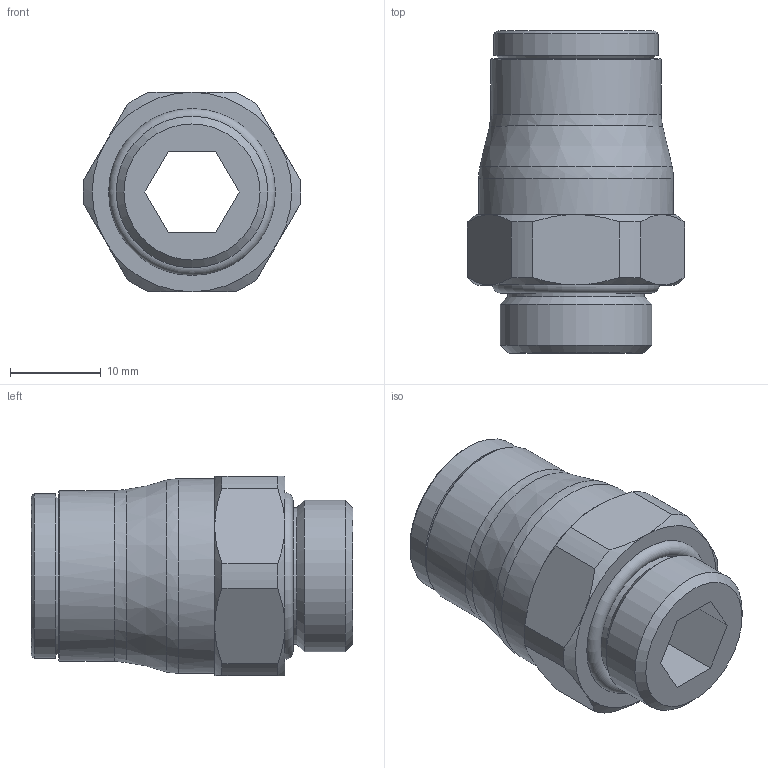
import cadquery as cq
import math


TOTAL_LENGTH = 35.5
THREAD_SHOULDER = 5.35
HEX_FRONT = 7.5
HEX_LENGTH = 7.75
HEX_REAR = HEX_FRONT + HEX_LENGTH
TAPER_START = 19.9
TAPER_END = 25.65
BODY_REAR = 32.45
CAP_FRONT = 32.8

THREAD_RADIUS = 8.35
RELIEF_RADIUS = 7.5
SEAL_OUTER_RADIUS = 9.2
SEAL_SECTION_RADIUS = 0.9
BODY_RADIUS = 10.75
NECK_RADIUS = 9.4
CAP_RADIUS = 9.1
CAP_BEVEL_RADIUS = 8.8
CAP_GROOVE_RADIUS = 8.5

THREAD_CHAMFER = THREAD_RADIUS - RELIEF_RADIUS
TAPER_BLEND_RADIUS = 5.6
BODY_EDGE_CHAMFER = 0.1
CAP_CHAMFER = 0.33

HEX_ACROSS_FLATS = 22.0
HEX_CORNER_DIAMETER = 24.0
HEX_CHAMFER_LENGTH = 0.8
SOCKET_ACROSS_FLATS = 9.0


def hexagonal_prism(across_flats, start, end):
    """Hexagonal prism along Y with its corners on the X axis."""
    corner_diameter = across_flats / math.cos(math.radians(30))
    profile = cq.Workplane("XZ", origin=(0, start, 0)).polygon(6, corner_diameter)
    return profile.extrude(start - end)


def revolved(profile):
    """Solid of revolution about the Y axis from a (radius, y) half profile."""
    return profile.close().revolve(360, (0, 0, 0), (0, 1, 0))


def threaded_end():
    """Plain thread cylinder, chamfered at both ends, with a relief behind it."""
    return revolved(
        cq.Workplane("XY")
        .lineTo(THREAD_RADIUS - THREAD_CHAMFER, 0)
        .lineTo(THREAD_RADIUS, THREAD_CHAMFER)
        .lineTo(THREAD_RADIUS, THREAD_SHOULDER)
        .lineTo(RELIEF_RADIUS, THREAD_SHOULDER + THREAD_CHAMFER)
        .lineTo(RELIEF_RADIUS, HEX_FRONT)
        .lineTo(0, HEX_FRONT)
    )


def seal_ring():
    """O-ring in the relief, half sunk into the front face of the hexagon."""
    centre_radius = SEAL_OUTER_RADIUS - SEAL_SECTION_RADIUS
    ring_section = cq.Workplane("XY").center(centre_radius, HEX_FRONT).circle(SEAL_SECTION_RADIUS)
    return ring_section.revolve(360, (-centre_radius, 0, 0), (-centre_radius, 1, 0))


def wrench_hexagon():
    """Hexagon trimmed to a round corner diameter and chamfered at both ends."""
    flat_radius = HEX_ACROSS_FLATS / 2
    corner_radius = HEX_CORNER_DIAMETER / 2
    envelope = revolved(
        cq.Workplane("XY")
        .moveTo(0, HEX_FRONT)
        .lineTo(flat_radius, HEX_FRONT)
        .lineTo(corner_radius, HEX_FRONT + HEX_CHAMFER_LENGTH)
        .lineTo(corner_radius, HEX_REAR - HEX_CHAMFER_LENGTH)
        .lineTo(flat_radius, HEX_REAR)
        .lineTo(0, HEX_REAR)
    )
    return hexagonal_prism(HEX_ACROSS_FLATS, HEX_FRONT, HEX_REAR).intersect(envelope)


def tapered_body():
    """Sleeve that tapers from the hexagon to the neck, with blended taper ends."""
    sleeve = revolved(
        cq.Workplane("XY")
        .moveTo(0, HEX_REAR)
        .lineTo(BODY_RADIUS, HEX_REAR)
        .lineTo(BODY_RADIUS, TAPER_START)
        .lineTo(NECK_RADIUS, TAPER_END)
        .lineTo(NECK_RADIUS, BODY_REAR - BODY_EDGE_CHAMFER)
        .lineTo(NECK_RADIUS - BODY_EDGE_CHAMFER, BODY_REAR)
        .lineTo(0, BODY_REAR)
    )
    selection_margin = 0.01
    taper_ends = cq.selectors.BoxSelector(
        (-HEX_CORNER_DIAMETER, TAPER_START - selection_margin, -HEX_CORNER_DIAMETER),
        (HEX_CORNER_DIAMETER, TAPER_END + selection_margin, HEX_CORNER_DIAMETER),
    )
    return sleeve.edges(taper_ends).edges("%CIRCLE").fillet(TAPER_BLEND_RADIUS)


def release_cap():
    """Release collar behind the body, set off by a narrow bevelled groove."""
    return revolved(
        cq.Workplane("XY")
        .moveTo(0, BODY_REAR)
        .lineTo(CAP_GROOVE_RADIUS, BODY_REAR)
        .lineTo(CAP_BEVEL_RADIUS, CAP_FRONT)
        .lineTo(CAP_RADIUS, CAP_FRONT)
        .lineTo(CAP_RADIUS, TOTAL_LENGTH - CAP_CHAMFER)
        .lineTo(CAP_RADIUS - CAP_CHAMFER, TOTAL_LENGTH)
        .lineTo(0, TOTAL_LENGTH)
    )


outer_shape = threaded_end()
for section in (seal_ring(), wrench_hexagon(), tapered_body(), release_cap()):
    outer_shape = outer_shape.union(section)

result = outer_shape.cut(hexagonal_prism(SOCKET_ACROSS_FLATS, 0, TOTAL_LENGTH))